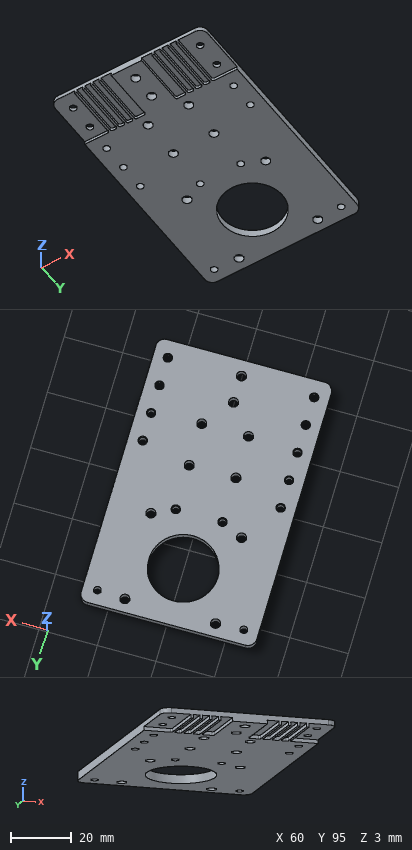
import cadquery as cq

width = 60.0
length = 95.0
thickness = 3.0
corner_radius = 3.0

motor_y = 27.5
motor_opening_diameter = 23.5
motor_hole_spacing = 31.0
screw_hole_diameter = 3.2

edge_hole_x = 25.0
corner_hole_y = 42.5
corner_hole_diameter = 2.5

countersunk_diameter = 2.5
countersink_diameter = 3.0
countersink_angle = 90
column_first_y = -41.4
column_pitch = 10.0
left_column_count = 5
right_column_count = 4
inner_hole_x = 8.0
inner_countersunk_y = 8.5

inner_plain_ys = (-7.5, -22.5)
centre_hole_ys = (-32.5, -42.0)

relief_depth = 1.2
relief_back_y = -27.0
tab_width = 12.0
rib_width = 0.9
rib_count = 4
first_rib_x = 10.45
last_rib_x = 19.95
rib_pitch = (last_rib_x - first_rib_x) / (rib_count - 1)
relief_corner_radius = 0.6


def front_bar(center_x, bar_width):
    """Bar of relief height running from the front face to the relief's back wall."""
    return (
        cq.Workplane("XY")
        .center(center_x, (relief_back_y - length / 2) / 2)
        .rect(bar_width, relief_back_y + length / 2)
        .extrude(relief_depth)
    )


def make_plate():
    return (
        cq.Workplane("XY")
        .rect(width, length)
        .extrude(thickness)
        .edges("|Z")
        .fillet(corner_radius)
    )


def make_relief():
    """Material removed under the front end, leaving the tab and ribs standing."""
    relief = front_bar(0, width).cut(front_bar(0, tab_width))
    for side in (-1, 1):
        for index in range(rib_count):
            rib_x = side * (first_rib_x + index * rib_pitch)
            relief = relief.cut(front_bar(rib_x, rib_width))
    inner_corners = cq.selectors.BoxSelector(
        (-width / 2 + rib_width, relief_back_y - rib_width, 0),
        (width / 2 - rib_width, relief_back_y + rib_width, relief_depth),
    )
    return relief.edges("|Z").edges(inner_corners).fillet(relief_corner_radius)


def on_top(body, points):
    """Hole centres placed on the top face."""
    return body.faces(">Z").workplane(origin=(0, 0, thickness)).pushPoints(points)


def mirrored(x, ys):
    """Points at -x and +x for every y."""
    return [(x_sign * x, y) for x_sign in (-1, 1) for y in ys]


def column(x, count):
    """Evenly pitched points along a long edge, starting at the front."""
    return [(x, column_first_y + index * column_pitch) for index in range(count)]


motor_hole_ys = (motor_y - motor_hole_spacing / 2, motor_y + motor_hole_spacing / 2)
screw_points = mirrored(motor_hole_spacing / 2, motor_hole_ys)
screw_points += mirrored(inner_hole_x, inner_plain_ys)
screw_points += [(0, y) for y in centre_hole_ys]

countersunk_points = column(-edge_hole_x, left_column_count)
countersunk_points += column(edge_hole_x, right_column_count)
countersunk_points += mirrored(inner_hole_x, [inner_countersunk_y])

result = make_plate().cut(make_relief())
result = on_top(result, [(0, motor_y)]).hole(motor_opening_diameter)
result = on_top(result, screw_points).hole(screw_hole_diameter)
result = on_top(result, mirrored(edge_hole_x, [corner_hole_y])).hole(corner_hole_diameter)
result = on_top(result, countersunk_points).cskHole(
    countersunk_diameter, countersink_diameter, countersink_angle
)